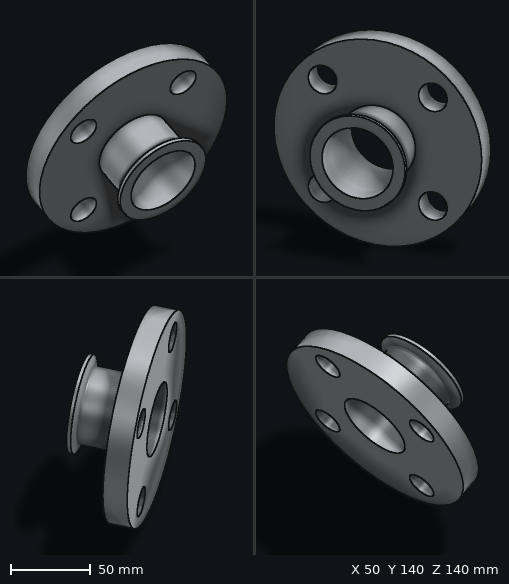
import cadquery as cq
import math

flange_diameter = 140.0
flange_thickness = 16.0
overall_length = 50.0

bore_diameter = 47.7
tube_diameter = 50.8
rim_diameter = 64.0
rim_land = 2.8
rim_taper_angle = 22.5
root_fillet = 1.5

bolt_count = 4
bolt_hole_diameter = 19.0
bolt_circle_diameter = 105.0
first_bolt_angle = 45.0

taper_length = (rim_diameter - tube_diameter) / 2 * math.tan(math.radians(rim_taper_angle))
taper_end = overall_length - rim_land
taper_start = taper_end - taper_length


def revolved_body():
    """Solid flange, tube and rim turned about the X axis."""
    profile = (
        cq.Workplane("XY")
        .moveTo(0, 0)
        .lineTo(0, flange_diameter / 2)
        .lineTo(flange_thickness, flange_diameter / 2)
        .lineTo(flange_thickness, tube_diameter / 2)
        .lineTo(taper_start, tube_diameter / 2)
        .lineTo(taper_end, rim_diameter / 2)
        .lineTo(overall_length, rim_diameter / 2)
        .lineTo(overall_length, 0)
        .close()
    )
    body = profile.revolve(360, (0, 0, 0), (1, 0, 0))
    root_edge = cq.selectors.BoxSelector(
        (taper_start - 0.1, -1.4, -1.4), (taper_start + 0.1, 1.4, 1.4)
    )
    return body.edges(root_edge).fillet(root_fillet)


def bore():
    return cq.Workplane("YZ").circle(bore_diameter / 2).extrude(overall_length)


def bolt_holes():
    return (
        cq.Workplane("YZ")
        .polarArray(bolt_circle_diameter / 2, first_bolt_angle, 360, bolt_count)
        .circle(bolt_hole_diameter / 2)
        .extrude(flange_thickness)
    )


result = revolved_body().cut(bore()).cut(bolt_holes())